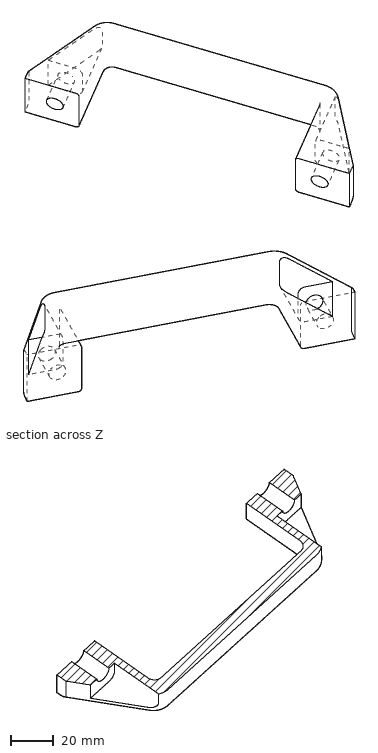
import cadquery as cq
import math

length = 162.0
depth = 45.0
width = 27.0

leg_length = 27.0
bar_thickness = 7.3
end_height = 5.7
slope_angle = math.radians(60)
outer_corner_radius = 9.4
inner_corner_radius = 4.4
edge_radius = 2.0

hole_diameter = 8.5
hole_inset = 14.9
pocket_floor = 15.9
pocket_width = 20.1
pocket_wall_inset = 23.0
pocket_corner_radius = 3.5

half_length = length / 2
mid_width = width / 2
slope_run = (depth - end_height) / math.tan(slope_angle)
top_half_length = half_length - slope_run
opening_half_length = half_length - leg_length
opening_depth = depth - bar_thickness


def make_body():
    """Extrude the bracket outline and round its long edges."""
    outer = (
        cq.Workplane("XY")
        .polyline([
            (-half_length, 0),
            (half_length, 0),
            (half_length, end_height),
            (top_half_length, depth),
            (-top_half_length, depth),
            (-half_length, end_height),
        ])
        .close()
        .extrude(width)
        .edges("|Z and >Y")
        .fillet(outer_corner_radius)
    )
    opening = (
        cq.Workplane("XY")
        .rect(2 * opening_half_length, 2 * opening_depth)
        .extrude(width)
        .edges("|Z and >Y")
        .fillet(inner_corner_radius)
    )
    body = outer.cut(opening)

    chain_edges = [
        cq.selectors.NearestToPointSelector((0, y, z))
        for y in (opening_depth, depth)
        for z in (0, width)
    ]
    for selector in chain_edges:
        body = body.edges(selector).fillet(edge_radius)
    return body


def make_screw_hole(side):
    return (
        cq.Workplane("XZ")
        .center(side * (half_length - hole_inset), mid_width)
        .circle(hole_diameter / 2)
        .extrude(-depth)
    )


def make_pocket(side):
    """Pocket open to the slope, with its two inner corners rounded."""
    inner_x = half_length - pocket_wall_inset
    pocket = (
        cq.Workplane("XY")
        .box(pocket_wall_inset, depth - pocket_floor, pocket_width, centered=(False, False, True))
        .edges("|Y and <X")
        .fillet(pocket_corner_radius)
        .translate((inner_x, pocket_floor, mid_width))
    )
    return pocket if side > 0 else pocket.mirror("YZ")


result = make_body()
for side in (-1, 1):
    result = result.cut(make_screw_hole(side)).cut(make_pocket(side))